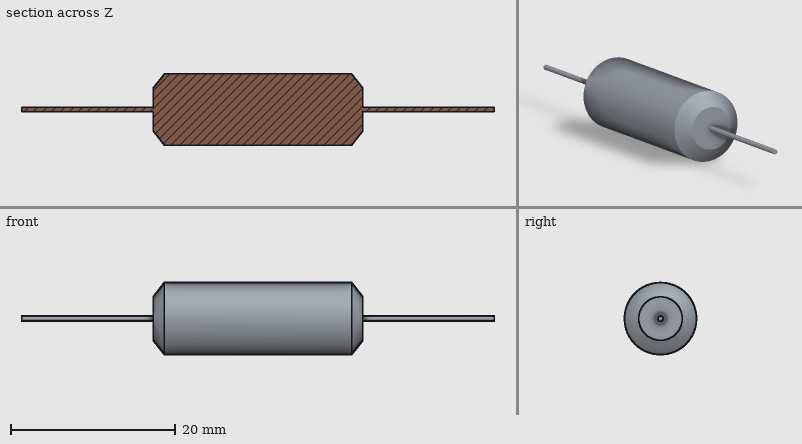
import cadquery as cq

overall_length = 57.5
body_length = 25.55
body_diameter = 8.8
end_face_diameter = 5.3
taper_length = 1.4
lead_diameter = 0.65

body_radius = body_diameter / 2
end_face_radius = end_face_diameter / 2
body_end = body_length / 2
taper_start = body_end - taper_length


def make_body():
    """Cylinder along X with a conical taper at each end."""
    profile = [
        (-body_end, 0),
        (-body_end, end_face_radius),
        (-taper_start, body_radius),
        (taper_start, body_radius),
        (body_end, end_face_radius),
        (body_end, 0),
    ]
    section = cq.Workplane("XZ").polyline(profile).close()
    return section.revolve(360, (0, 0, 0), (1, 0, 0))


def make_lead_wire():
    """Straight round wire on the X axis, sticking out of both end faces."""
    return cq.Workplane("YZ").circle(lead_diameter / 2).extrude(overall_length / 2, both=True)


result = make_body().union(make_lead_wire())